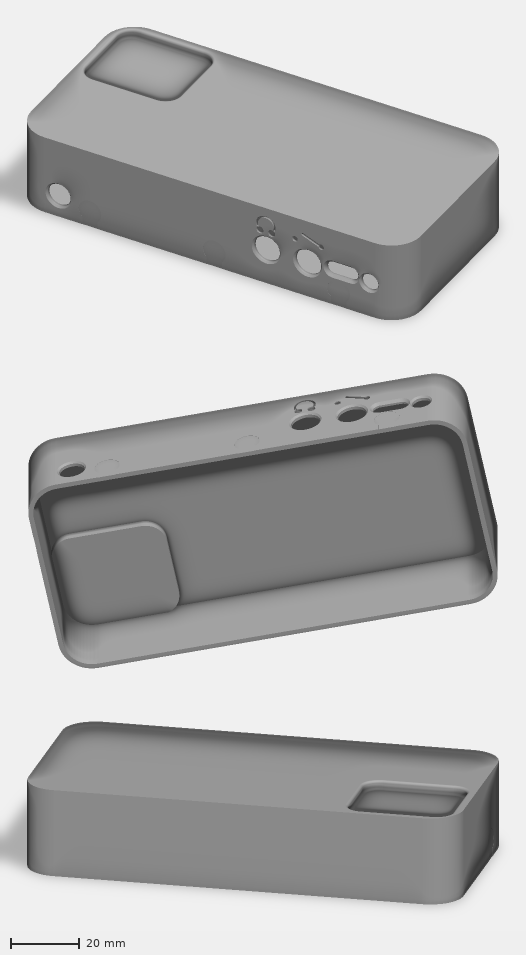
import cadquery as cq

LENGTH = 131.3
WIDTH = 64.0
HEIGHT = 26.7
CORNER_RADIUS = 10.0
WALL = 1.5
FRONT_Y = -WIDTH / 2
LEFT_X = -LENGTH / 2

RECESS_LENGTH = 31.5
RECESS_WIDTH = 28.0
RECESS_CENTER = (-47.3, 15.5)
RECESS_CORNER_RADIUS = 5.0
RECESS_FILLET = 0.8
RECESS_DEPTH = 2.8

PORT_REACH = 3 * WALL
ROUND_PORT_RIM = 0.5
ROUND_PORTS = [
    (-51.0, 7.4, 7.6),
    (19.0, 11.8, 8.7),
    (33.0, 11.8, 8.7),
    (53.7, 11.7, 5.6),
]

SLOT_CENTER = (44.4, 12.5)
SLOT_SPAN = 6.0
SLOT_BORE_HEIGHT = 4.5
SLOT_RIM = 0.8

KEYHOLE_DIAMETER = 7.6
KEYHOLE_NECK = 5.1
KEYHOLE_CENTER_Z = 5.3
KEYHOLE_DEPTH = 0.07
KEYHOLE_MIDDLE_X = 1.6
KEYHOLE_PITCH = 41.9
SIDE_KEYHOLE_Y = -13.0

ENGRAVING_DEPTH = 0.7
BAND_CENTER = (18.9, 20.5)
BAND_OUTER_DIAMETER = 6.6
BAND_INNER_DIAMETER = 5.3
CUP_DIAMETER = 2.4
CUP_OFFSET = 2.0
CUP_DROP = 2.2
CONTACT_DIAMETER = 1.8
CONTACT_Z = 19.0
CONTACT_LEFT_X = 28.8
CONTACT_RIGHT_X = 37.5
LEVER_LENGTH = 7.0
LEVER_WIDTH = 0.9
LEVER_ANGLE = 22.0


def front_plane():
    """Sketch plane on the front face; local x, y are X, Z and the normal points outward."""
    return cq.Workplane("XZ", origin=(0, FRONT_Y, 0))


def rounded_box(length, width, height, radius):
    return (
        cq.Workplane("XY")
        .rect(length, width)
        .extrude(height)
        .edges("|Z")
        .fillet(radius)
    )


def shell():
    """Thin-walled box whose roof thickens under the camera recess to keep the wall thickness."""
    outer = rounded_box(LENGTH, WIDTH, HEIGHT, CORNER_RADIUS)
    cavity = rounded_box(LENGTH - 2 * WALL, WIDTH - 2 * WALL, HEIGHT - WALL, CORNER_RADIUS - WALL)
    return outer.cut(cavity.cut(recess_block(WALL, RECESS_DEPTH + WALL)))


def recess_block(margin, depth):
    """Rounded block reaching down from the top face, larger than the recess by the margin all round."""
    block = rounded_box(
        RECESS_LENGTH + 2 * margin, RECESS_WIDTH + 2 * margin, depth, RECESS_CORNER_RADIUS + margin
    )
    return block.translate((*RECESS_CENTER, HEIGHT - depth))


def cut_camera_recess(body):
    """Cut the recess, with its floor edge and its top rim both rounded."""
    recess = recess_block(0, RECESS_DEPTH).faces("<Z").edges().fillet(RECESS_FILLET)
    pocketed = body.cut(recess)
    rim = cq.Workplane(pocketed.faces(">Z").val().innerWires()[0]).edges()
    return pocketed.newObject(rim.vals()).fillet(RECESS_FILLET)


def flared_port(bore_profile, rim):
    """Port cutter: a straight bore plus a rim that flares towards the front face."""
    bore = bore_profile(0).extrude(-PORT_REACH)
    mouth = bore_profile(rim).extrude(-rim, taper=45)
    return bore.union(mouth)


def round_profile(x, z, diameter):
    """Outline maker for a circle that can be grown by a margin."""
    return lambda margin: front_plane().center(x, z).circle(diameter / 2 + margin)


def slot_profile(margin):
    """Outline of the connector slot, grown by a margin."""
    height = SLOT_BORE_HEIGHT + 2 * margin
    return front_plane().center(*SLOT_CENTER).slot2D(SLOT_SPAN + height, height)


def keyhole(plane):
    """Keyhole cutter on a wall plane whose origin lies on the bottom edge."""
    head = plane.center(0, KEYHOLE_CENTER_Z).circle(KEYHOLE_DIAMETER / 2).extrude(-KEYHOLE_DEPTH)
    neck = (
        plane.center(0, KEYHOLE_CENTER_Z / 2)
        .rect(KEYHOLE_NECK, KEYHOLE_CENTER_Z)
        .extrude(-KEYHOLE_DEPTH)
    )
    return head.union(neck)


def engraved_disc(x, z, diameter):
    return front_plane().center(x, z).circle(diameter / 2).extrude(-ENGRAVING_DEPTH)


def headphone_symbol():
    """Arched band with a round cup at each end."""
    x, z = BAND_CENTER
    band = engraved_disc(x, z, BAND_OUTER_DIAMETER).cut(engraved_disc(x, z, BAND_INNER_DIAMETER))
    lower_part = (
        front_plane()
        .center(x, z - BAND_OUTER_DIAMETER / 2 - CUP_DIAMETER / 2)
        .rect(BAND_OUTER_DIAMETER, BAND_OUTER_DIAMETER)
        .extrude(-ENGRAVING_DEPTH)
    )
    symbol = band.cut(lower_part)
    for side in (-1, 1):
        symbol = symbol.union(engraved_disc(x + side * CUP_OFFSET, z - CUP_DROP, CUP_DIAMETER))
    return symbol


def switch_symbol():
    """Open switch: two round contacts with a tilted lever on the right one."""
    symbol = (
        front_plane()
        .center(CONTACT_RIGHT_X, CONTACT_Z)
        .transformed(rotate=(0, 0, -LEVER_ANGLE))
        .center(-LEVER_LENGTH / 2, 0)
        .rect(LEVER_LENGTH, LEVER_WIDTH)
        .extrude(-ENGRAVING_DEPTH)
    )
    for x in (CONTACT_LEFT_X, CONTACT_RIGHT_X):
        symbol = symbol.union(engraved_disc(x, CONTACT_Z, CONTACT_DIAMETER))
    return symbol


result = cut_camera_recess(shell())
for x, z, diameter in ROUND_PORTS:
    result = result.cut(flared_port(round_profile(x, z, diameter), ROUND_PORT_RIM))
result = result.cut(flared_port(slot_profile, SLOT_RIM))
for step in (-1, 0, 1):
    result = result.cut(keyhole(front_plane().center(KEYHOLE_MIDDLE_X + step * KEYHOLE_PITCH, 0)))
left_plane = cq.Workplane(cq.Plane((LEFT_X, SIDE_KEYHOLE_Y, 0), xDir=(0, -1, 0), normal=(-1, 0, 0)))
result = result.cut(keyhole(left_plane))
result = result.cut(headphone_symbol()).cut(switch_symbol())